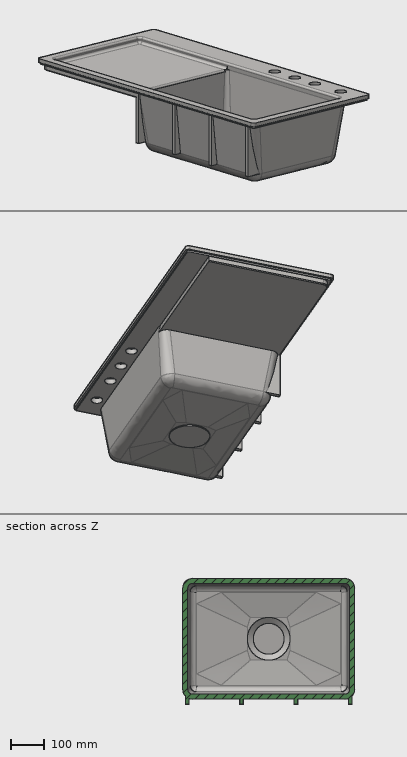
import cadquery as cq
import math

RIM_LENGTH = 966.0
RIM_WIDTH = 474.0
RIM_THICKNESS = 13.0
RIM_CORNER_RADIUS = 11.0
STEP_INSET = 6.0
STEP_BOTTOM_Z = -18.0

TOTAL_HEIGHT = 220.0
WALL = 16.0
LIP_RADIUS = 7.0

EDGE_MARGIN = 1.0

BOWL_X = 195.0
BOWL_Y = -28.0
BOARD_Z = -19.0
INNER_TOP_LENGTH = 505.0
INNER_TOP_WIDTH = 352.0
DRAFT_SLOPE = 0.11
INNER_FLOOR_Z = -190.0
INNER_TOP_CORNER_RADIUS = 10.0
INNER_CORNER_GROWTH = 8.0
INNER_FLOOR_RADIUS = 17.0
OUTER_FLOOR_RADIUS = INNER_FLOOR_RADIUS + WALL
OUTER_FLOOR_Z = INNER_FLOOR_Z - WALL

FLOOR_FALL = 10.0
FALL_START_X = 143.0
FALL_START_Y = 105.0
FALL_END_X = 55.0
FALL_END_Y = 35.0

DRAIN_DIAMETER = 128.0
DRAIN_SEAT_DIAMETER = 93.0
DRAIN_SEAT_DEPTH = 10.0
DRAIN_BOSS_DIAMETER = 123.0

RECESS_LEFT_X = -448.0
RECESS_FLOOR_RADIUS = 9.0
BOARD_EDGE_RADIUS = 6.0
TRAY_LEFT_X = -475.0
TRAY_FRONT_Y = -225.0
TRAY_BACK_Y = 162.0
TRAY_BOTTOM_Z = BOARD_Z - WALL
TRAY_CORNER_RADIUS = 20.0
TRAY_BOTTOM_CHAMFER = 3.0

RIB_COUNT = 4
RIB_PITCH = 163.0
RIB_THICKNESS = 12.0
RIB_BOTTOM_Z = -177.0

TAP_DIAMETER = 35.0
TAP_PITCH = 90.0
TAP_Y = 192.0
SIDE_TAP_X = 400.0
TAP_XS = [BOWL_X - TAP_PITCH, BOWL_X, BOWL_X + TAP_PITCH, SIDE_TAP_X]


floor_drop = BOARD_Z - INNER_FLOOR_Z
floor_half_x = INNER_TOP_LENGTH / 2 - floor_drop * DRAFT_SLOPE - INNER_FLOOR_RADIUS
floor_half_y = INNER_TOP_WIDTH / 2 - floor_drop * DRAFT_SLOPE - INNER_FLOOR_RADIUS
drain_top_z = INNER_FLOOR_Z - FLOOR_FALL

opening_right_x = BOWL_X + INNER_TOP_LENGTH / 2
opening_back_y = BOWL_Y + INNER_TOP_WIDTH / 2
opening_front_y = BOWL_Y - INNER_TOP_WIDTH / 2
first_rib_x = BOWL_X - RIB_PITCH * (RIB_COUNT - 1) / 2
board_edge_x = BOWL_X - INNER_TOP_LENGTH / 2


def box_between(x0, x1, y0, y1, z0, z1):
    """Box given by its limits along each axis."""
    return cq.Workplane("XY", origin=(x0, y0, z0)).box(x1 - x0, y1 - y0, z1 - z0, centered=False)


def rounded_rectangle(length, width, radius):
    return cq.Sketch().rect(length, width).vertices().fillet(radius)


def tapered_tub(top_length, top_width, top_z, bottom_z, top_radius, bottom_radius, floor_radius):
    """Tub centred on the bowl that narrows downwards, with a filleted bottom edge."""
    depth = top_z - bottom_z
    narrowing = 2 * depth * DRAFT_SLOPE
    top = rounded_rectangle(top_length, top_width, top_radius)
    bottom = rounded_rectangle(top_length - narrowing, top_width - narrowing, bottom_radius)
    tub = (
        cq.Workplane("XY", origin=(BOWL_X, BOWL_Y, top_z))
        .placeSketch(top, bottom.moved(cq.Location(cq.Vector(0, 0, -depth))))
        .loft()
    )
    return tub.faces("<Z").edges().fillet(floor_radius)


def octagon(half_x, half_y, flat_x, flat_y):
    """Corner-cut rectangle: flat_x and flat_y are the half lengths of its uncut sides."""
    return [
        (flat_x, half_y), (-flat_x, half_y), (-half_x, flat_y), (-half_x, -flat_y),
        (-flat_x, -half_y), (flat_x, -half_y), (half_x, -flat_y), (half_x, flat_y),
    ]


def floor_funnel(floor_z):
    """Faceted funnel below a bowl floor, falling from the floor edges to the drain."""
    start = octagon(floor_half_x, floor_half_y, FALL_START_X, FALL_START_Y)
    end = octagon(DRAIN_DIAMETER / 2, DRAIN_DIAMETER / 2, FALL_END_X, FALL_END_Y)
    return (
        cq.Workplane("XY", origin=(BOWL_X, BOWL_Y, floor_z))
        .polyline(start).close()
        .workplane(offset=-FLOOR_FALL)
        .polyline(end).close()
        .loft(ruled=True)
    )


def rim():
    plate = (
        cq.Workplane("XY")
        .placeSketch(rounded_rectangle(RIM_LENGTH, RIM_WIDTH, RIM_CORNER_RADIUS))
        .extrude(-RIM_THICKNESS)
    )
    step = (
        cq.Workplane("XY")
        .placeSketch(
            rounded_rectangle(
                RIM_LENGTH - 2 * STEP_INSET, RIM_WIDTH - 2 * STEP_INSET, RIM_CORNER_RADIUS - STEP_INSET
            )
        )
        .extrude(STEP_BOTTOM_Z)
    )
    return plate.union(step)


def tray():
    body = box_between(TRAY_LEFT_X, first_rib_x, TRAY_FRONT_Y, TRAY_BACK_Y, TRAY_BOTTOM_Z, -RIM_THICKNESS)
    body = body.edges("|Z and <X and <Y").fillet(TRAY_CORNER_RADIUS)
    return body.faces("<Z").edges("<X").chamfer(TRAY_BOTTOM_CHAMFER)


def bowl_body():
    top_z = -RIM_THICKNESS
    growth = 2 * (WALL + (top_z - BOARD_Z) * DRAFT_SLOPE)
    return tapered_tub(
        INNER_TOP_LENGTH + growth, INNER_TOP_WIDTH + growth, top_z, OUTER_FLOOR_Z,
        INNER_TOP_CORNER_RADIUS + WALL, INNER_TOP_CORNER_RADIUS + INNER_CORNER_GROWTH + WALL,
        OUTER_FLOOR_RADIUS,
    )


def bowl_space():
    return tapered_tub(
        INNER_TOP_LENGTH, INNER_TOP_WIDTH, BOARD_Z, INNER_FLOOR_Z,
        INNER_TOP_CORNER_RADIUS, INNER_TOP_CORNER_RADIUS + INNER_CORNER_GROWTH, INNER_FLOOR_RADIUS,
    )


def opening():
    """Recess over the drainboard and the bowl; only the drainboard part has a filleted floor."""
    full = box_between(RECESS_LEFT_X, opening_right_x, opening_front_y, opening_back_y, BOARD_Z, 0)
    full = full.edges("|Z").fillet(INNER_TOP_CORNER_RADIUS)
    over_bowl = full.intersect(box_between(board_edge_x, RIM_LENGTH, -RIM_WIDTH, RIM_WIDTH, BOARD_Z, 0))
    return full.faces("<Z").edges().fillet(RECESS_FLOOR_RADIUS).union(over_bowl)


def board_edge_rounding():
    """Waste outside the quarter round where the drainboard drops into the bowl."""
    radius = BOARD_EDGE_RADIUS
    start_x = board_edge_x - radius
    bevel = radius * math.sqrt(0.5)
    flat_width = INNER_TOP_WIDTH - 2 * RECESS_FLOOR_RADIUS
    return (
        cq.Workplane("XZ", origin=(start_x, BOWL_Y, BOARD_Z))
        .moveTo(0, 0)
        .threePointArc((bevel, bevel - radius), (radius, -radius))
        .lineTo(2 * radius, -radius)
        .lineTo(2 * radius, 0)
        .close()
        .extrude(flat_width / 2, both=True)
    )


def ribs():
    """Upright ribs that run from the front wall of the bowl to the front of the tray."""
    rib_root_y = BOWL_Y - floor_half_y
    group = cq.Workplane("XY")
    for index in range(RIB_COUNT):
        left_x = first_rib_x + index * RIB_PITCH - RIB_THICKNESS / 2
        group = group.union(
            box_between(
                left_x, left_x + RIB_THICKNESS,
                TRAY_FRONT_Y, rib_root_y,
                RIB_BOTTOM_Z, -RIM_THICKNESS,
            )
        )
    return group


def drain_boss():
    return (
        cq.Workplane("XY", origin=(BOWL_X, BOWL_Y, -TOTAL_HEIGHT))
        .circle(DRAIN_BOSS_DIAMETER / 2)
        .extrude(TOTAL_HEIGHT + drain_top_z)
    )


def drain_seat():
    return (
        cq.Workplane("XY", origin=(BOWL_X, BOWL_Y, drain_top_z))
        .circle(DRAIN_DIAMETER / 2)
        .workplane(offset=-DRAIN_SEAT_DEPTH)
        .circle(DRAIN_SEAT_DIAMETER / 2)
        .loft()
    )


def tap_holes():
    return (
        cq.Workplane("XY")
        .pushPoints([(x, TAP_Y) for x in TAP_XS])
        .circle(TAP_DIAMETER / 2)
        .extrude(STEP_BOTTOM_Z)
    )


outside = (
    rim()
    .union(tray())
    .union(bowl_body())
    .union(ribs())
    .union(floor_funnel(OUTER_FLOOR_Z))
    .union(drain_boss())
)
result = outside.cut(opening()).cut(bowl_space()).cut(board_edge_rounding())

opening_edges = cq.selectors.BoxSelector(
    (RECESS_LEFT_X - EDGE_MARGIN, opening_front_y - EDGE_MARGIN, -EDGE_MARGIN),
    (opening_right_x + EDGE_MARGIN, opening_back_y + EDGE_MARGIN, EDGE_MARGIN),
    boundingbox=True,
)
result = result.faces(">Z").edges(opening_edges).fillet(LIP_RADIUS)

result = result.cut(floor_funnel(INNER_FLOOR_Z)).cut(drain_seat()).cut(tap_holes())